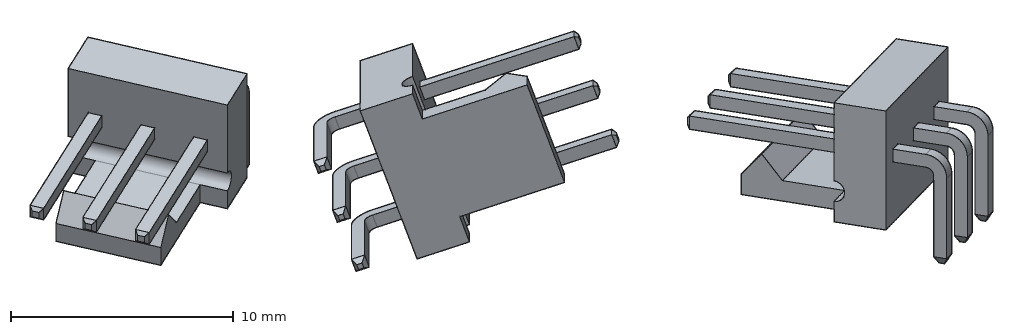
import cadquery as cq

wall_width = 7.65
wall_depth = 2.5
wall_height = 5.85
front_y = -wall_depth

arm_width = 5.05
arm_length = 4.99
arm_thickness = 1.01
barb_length = 1.99
barb_height = 1.15
groove_radius = 0.5

pin_count = 3
pin_pitch = 2.53
pin_top_z = 3.62
blade_size = 0.65
blade_reach = 7.52
blade_tip_length = 0.16
blade_tip_size = blade_size - 2 * blade_tip_length
tail_size = 0.63
tail_offset_x = 0.1
tail_reach = 12.61 - wall_depth - blade_reach
tail_drop = 1.7
tail_tip_length = 0.35
tail_tip_size = 0.25
bend_outer_radius = 1.01
bend_inner_radius = bend_outer_radius - tail_size
joint_y = -wall_depth / 2


def extrude_side_profile(profile, width):
    """Extrude a closed YZ profile symmetrically about X = 0."""
    return profile.extrude(width / 2, both=True)


def tapered_tip(base_plane, base_size, tip_size, length):
    """Square frustum growing along the normal of base_plane."""
    return (
        cq.Workplane(base_plane)
        .rect(base_size, base_size)
        .workplane(offset=length)
        .rect(tip_size, tip_size)
        .loft(ruled=True)
    )


def make_blade():
    """Straight contact, ending in a chamfered tip at the front."""
    center_z = pin_top_z - blade_size / 2
    tip_base_y = front_y - blade_reach + blade_tip_length
    forward = (0, -1, 0)
    bar_plane = cq.Plane(origin=(0, joint_y, center_z), xDir=(1, 0, 0), normal=forward)
    bar = cq.Workplane(bar_plane).rect(blade_size, blade_size).extrude(joint_y - tip_base_y)
    tip_plane = cq.Plane(origin=(0, tip_base_y, center_z), xDir=(1, 0, 0), normal=forward)
    return bar.union(tapered_tip(tip_plane, blade_size, blade_tip_size, blade_tip_length))


def make_tail():
    """Solder tail, bent downwards behind the wall and tapered at its end."""
    tip_base_z = -tail_drop + tail_tip_length
    inner_y = tail_reach - tail_size
    lower_z = pin_top_z - tail_size
    bend_y = tail_reach - bend_outer_radius
    bend_z = pin_top_z - bend_outer_radius
    profile = (
        cq.Workplane("YZ")
        .moveTo(joint_y, pin_top_z)
        .lineTo(bend_y, pin_top_z)
        .radiusArc((tail_reach, bend_z), bend_outer_radius)
        .lineTo(tail_reach, tip_base_z)
        .lineTo(inner_y, tip_base_z)
        .lineTo(inner_y, bend_z)
        .radiusArc((bend_y, lower_z), -bend_inner_radius)
        .lineTo(joint_y, lower_z)
        .close()
    )
    tip_plane = cq.Plane(
        origin=(0, tail_reach - tail_size / 2, tip_base_z), xDir=(1, 0, 0), normal=(0, 0, -1)
    )
    tip = tapered_tip(tip_plane, tail_size, tail_tip_size, tail_tip_length)
    tail = extrude_side_profile(profile, tail_size).union(tip)
    return tail.translate((tail_offset_x, 0, 0))


def make_pin(x):
    """Complete pin with its blade centred at the given X."""
    return make_blade().union(make_tail()).translate((x, 0, 0))


def make_wall():
    """Upright block with a half-round groove across the front above the arm."""
    wall = cq.Workplane("XY").box(wall_width, wall_depth, wall_height, centered=(True, False, False))
    wall = wall.translate((0, front_y, 0))
    groove_center = (front_y, arm_thickness + groove_radius)
    groove = cq.Workplane("YZ").center(*groove_center).circle(groove_radius)
    return wall.cut(extrude_side_profile(groove, wall_width))


def make_latch_arm():
    """Flat arm reaching forwards from the wall, with its barb."""
    end_y = front_y - arm_length
    profile = (
        cq.Workplane("YZ")
        .moveTo(front_y, 0)
        .lineTo(front_y, arm_thickness)
        .lineTo(end_y + barb_length, arm_thickness)
        .lineTo(end_y + barb_length / 2, arm_thickness + barb_height)
        .lineTo(end_y, arm_thickness)
        .lineTo(end_y, 0)
        .close()
    )
    return extrude_side_profile(profile, arm_width)


pins = [make_pin((i - (pin_count - 1) / 2) * pin_pitch) for i in range(pin_count)]

housing = make_wall().union(make_latch_arm())
for pin in pins:
    housing = housing.cut(pin)

result = cq.Compound.makeCompound([housing.solids().val(), *[pin.solids().val() for pin in pins]])